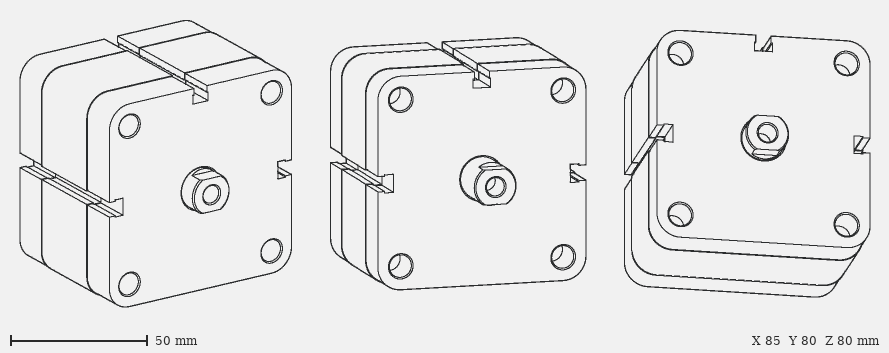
import cadquery as cq

BODY_LENGTH = 60.0
COVER_LENGTH = 14.8
BARREL_LENGTH = BODY_LENGTH - 2 * COVER_LENGTH
BARREL_SIDE = 80.0
BARREL_CORNER_RADIUS = 9.0
COVER_INSET = 0.25

SCREW_PITCH = BARREL_SIDE - 2 * BARREL_CORNER_RADIUS
SCREW_HOLE_DIAMETER = 8.4
SCREW_HOLE_CHAMFER = 0.5

SLOT_FLOOR_HEIGHT = 33.75
SLOT_LIP_DEPTH = 2.9
SLOT_LIP_HEIGHT = BARREL_SIDE / 2 - SLOT_LIP_DEPTH
SLOT_MOUTH_WIDTH = 5.2
SLOT_WIDTH = 6.2
COVER_SLOT_CLEARANCE = 0.25
SLOT_ANGLES = (-90, 0, 90)

ROD_LENGTH = 85.0
ROD_DIAMETER = 16.0
ROD_RADIUS = ROD_DIAMETER / 2
ROD_FRONT_REACH = 17.5
ROD_CHAMFER_LENGTH = 0.8
ROD_CHAMFER_DEPTH = 0.4
BORE_CHAMFER = 0.5

FLAT_ACROSS = 13.0
FLAT_LENGTH = 6.1
FLAT_SHOULDER_SLOPE = 0.3
TAP_DIAMETER = 6.8
TAP_MOUTH_CHAMFER = 0.5
TAP_DEPTH = 11.9
TAP_TIP_LENGTH = 2.0

BODY_START = -BODY_LENGTH / 2
BARREL_START = -BARREL_LENGTH / 2
ROD_START = BODY_START - ROD_FRONT_REACH
ROD_END = ROD_START + ROD_LENGTH
ROD_MIDDLE = ((ROD_START + ROD_END) / 2, 0, 0)


def yz_plane(x):
    """Workplane across the X axis at x, with Y and Z as its own axes."""
    return cq.Workplane("YZ", origin=(x, 0, 0))


def turned(profile):
    """Revolve a closed profile of (x, radius) points about the X axis."""
    return cq.Workplane("XZ").polyline(profile).close().revolve(360, (0, 0), (1, 0))


def turned_about_x(shape, angle):
    return shape.rotate((0, 0, 0), (1, 0, 0), angle)


def mirrored_to_rear(front_shape, middle=(0, 0, 0)):
    return front_shape.mirror("YZ", middle)



def slot_cutter(x, length, clearance):
    """Stepped slot on the +Z side, each wall moved outwards by the clearance."""
    half_mouth = SLOT_MOUTH_WIDTH / 2 + clearance
    half_width = SLOT_WIDTH / 2 + clearance
    open_top = BARREL_SIDE / 2
    outline = [
        (-half_width, SLOT_FLOOR_HEIGHT),
        (-half_width, SLOT_LIP_HEIGHT),
        (-half_mouth, SLOT_LIP_HEIGHT),
        (-half_mouth, open_top),
        (half_mouth, open_top),
        (half_mouth, SLOT_LIP_HEIGHT),
        (half_width, SLOT_LIP_HEIGHT),
        (half_width, SLOT_FLOOR_HEIGHT),
    ]
    return yz_plane(x).polyline(outline).close().extrude(length)


def screw_hole_centres(x):
    return yz_plane(x).rect(SCREW_PITCH, SCREW_PITCH, forConstruction=True).vertices()


def slotted_block(x, length, inset, slot_clearance):
    """Rounded square block with four screw holes, a rod bore and three slots."""
    side = BARREL_SIDE - 2 * inset
    block = yz_plane(x).rect(side, side).extrude(length)
    block = block.edges("|X").fillet(BARREL_CORNER_RADIUS - inset)
    block = block.cut(screw_hole_centres(x).circle(SCREW_HOLE_DIAMETER / 2).extrude(length))
    block = block.cut(yz_plane(x).circle(ROD_RADIUS).extrude(length))
    slot = slot_cutter(x, length, slot_clearance)
    for angle in SLOT_ANGLES:
        block = block.cut(turned_about_x(slot, angle))
    return block


def countersink(radius, chamfer):
    """Cone that chamfers the mouth of a hole on the X axis in the front cover's outer face."""
    return turned([
        (BODY_START, 0),
        (BODY_START, radius + chamfer),
        (BODY_START + chamfer, radius),
        (BODY_START + chamfer, 0),
    ])


def make_barrel():
    return slotted_block(BARREL_START, BARREL_LENGTH, inset=0, slot_clearance=0)


def make_front_cover():
    """End cover whose holes are chamfered in its outer face."""
    cover = slotted_block(BODY_START, COVER_LENGTH, COVER_INSET, COVER_SLOT_CLEARANCE)
    cover = cover.cut(countersink(ROD_RADIUS, BORE_CHAMFER))
    screw_countersink = countersink(SCREW_HOLE_DIAMETER / 2, SCREW_HOLE_CHAMFER)
    for y in (-SCREW_PITCH / 2, SCREW_PITCH / 2):
        for z in (-SCREW_PITCH / 2, SCREW_PITCH / 2):
            cover = cover.cut(screw_countersink.translate((0, y, z)))
    return cover



def flat_cutter():
    """Material milled off above the upper flat at the front rod end, up to a sloped shoulder."""
    flat_height = FLAT_ACROSS / 2
    flat_end = ROD_START + FLAT_LENGTH
    outline = [
        (ROD_START, flat_height),
        (flat_end, flat_height),
        (flat_end + FLAT_SHOULDER_SLOPE, ROD_RADIUS),
        (ROD_START, ROD_RADIUS),
    ]
    return cq.Workplane("XZ").polyline(outline).close().extrude(ROD_RADIUS, both=True)


def tapped_hole_cutter():
    """Blind hole in the front rod end, with a chamfered mouth and a conical tip."""
    radius = TAP_DIAMETER / 2
    return turned([
        (ROD_START, 0),
        (ROD_START, radius + TAP_MOUTH_CHAMFER),
        (ROD_START + TAP_MOUTH_CHAMFER, radius),
        (ROD_START + TAP_DEPTH, radius),
        (ROD_START + TAP_DEPTH + TAP_TIP_LENGTH, 0),
    ])


def make_rod():
    """Through rod with the same flats and threaded hole at both ends."""
    end_radius = ROD_RADIUS - ROD_CHAMFER_DEPTH
    rod = turned([
        (ROD_START, 0),
        (ROD_START, end_radius),
        (ROD_START + ROD_CHAMFER_LENGTH, ROD_RADIUS),
        (ROD_END - ROD_CHAMFER_LENGTH, ROD_RADIUS),
        (ROD_END, end_radius),
        (ROD_END, 0),
    ])
    upper_flat = flat_cutter()
    lower_flat = turned_about_x(upper_flat, 180)
    for cutter in (tapped_hole_cutter(), upper_flat, lower_flat):
        rod = rod.cut(cutter)
        rod = rod.cut(mirrored_to_rear(cutter, ROD_MIDDLE))
    return rod


barrel = make_barrel()
front_cover = make_front_cover()
rear_cover = mirrored_to_rear(front_cover)
rod = make_rod()

result = cq.Compound.makeCompound([
    barrel.val(),
    front_cover.val(),
    rear_cover.val(),
    rod.val(),
])